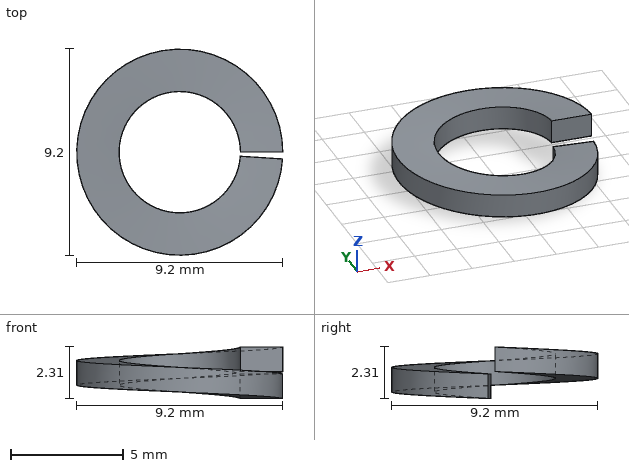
import cadquery as cq

outer_diameter = 9.2
inner_diameter = 5.4
thickness = 1.1
overall_height = 2.31
gap_angle = 3.7

outer_radius = outer_diameter / 2
inner_radius = inner_diameter / 2
ring_width = outer_radius - inner_radius
mean_radius = (outer_radius + inner_radius) / 2

drop = overall_height - thickness
turns = (360 - gap_angle) / 360
pitch = drop / turns


def centre_helix():
    """Left-hand helix through the section centre, from the lower end up to the upper end."""
    return cq.Wire.makeHelix(pitch, drop, mean_radius, lefthand=True)


def wound_ring():
    """Sweep the section along the helix, keeping it in the radial-axial plane."""
    section = cq.Workplane("XZ").center(mean_radius, 0).rect(ring_width, thickness)
    return section.sweep(cq.Workplane(obj=centre_helix()), isFrenet=True)


ring = wound_ring().rotate((0, 0, 0), (0, 0, 1), -gap_angle)
result = ring.translate((0, 0, thickness / 2))